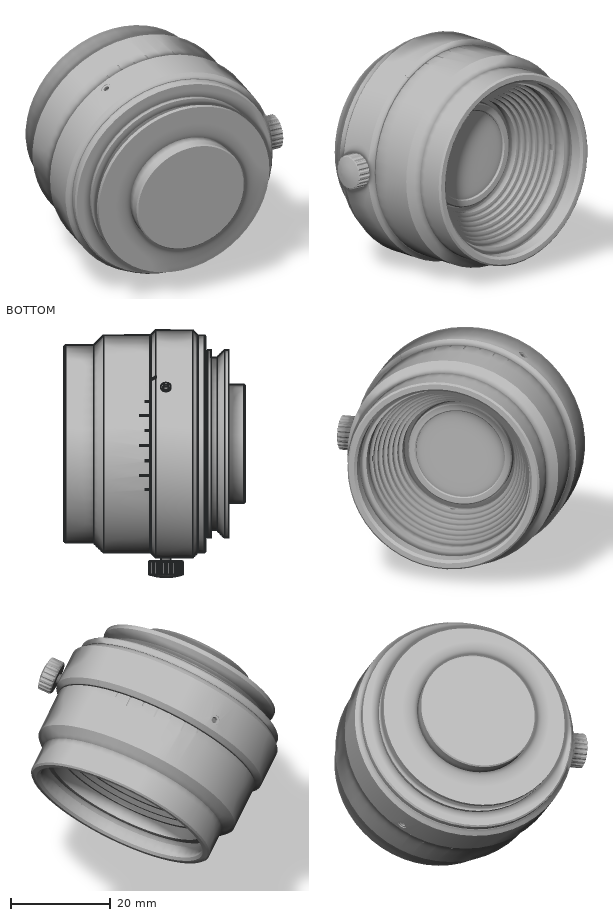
import cadquery as cq
import math

LENGTH = 36.6

BARREL_R = 20.0
RIM_CHAMFER = 0.35
CONE_START_X = 6.0
RING_R = 22.0
CONE_END_X = CONE_START_X + (RING_R - BARREL_R)
RING_END_X = 17.35
GAP_WIDTH = 0.25

COLLAR_R = 23.0
COLLAR_CHAMFER = 0.95
COLLAR_START_X = RING_END_X + GAP_WIDTH
COLLAR_END_X = 26.95
SEAM_WIDTH = 0.15
SEAM_DEPTH = 0.15
BACK_RING_END_X = 28.65
BACK_RING_CHAMFER = 0.3

MOUNT_R = 19.0
LEDGE_R = 18.85
LEDGE_END_X = 28.95
FLANGE_START_X = LEDGE_END_X + (MOUNT_R - LEDGE_R)
FLANGE_END_X = 29.75
GROOVE_R = 17.5
DOVETAIL_START_X = 30.95
DOVETAIL_END_X = DOVETAIL_START_X + (MOUNT_R - GROOVE_R)
MOUNT_END_X = 33.3
TUBE_R = 12.0
TUBE_CHAMFER = 0.25

BORE_R = 18.1
BORE_CHAMFER = 0.5
UNDERCUT_R = 18.4
UNDERCUT_START_X = 2.95
UNDERCUT_END_X = 4.0

BAFFLE_R = 17.0
LAND_R = 16.25
SHOULDER_R = 15.65
THROAT_R = 11.75
EQUAL_STEPS = 5
BAFFLE_START_X = 6.55
BAFFLE_STEP_X = 1.025

RELIEF_R = 11.9
RELIEF_START_X = 14.0
TRENCH_FLOOR_X = 15.0
TRENCH_FLOOR_R = 11.1
LENS_RING_X = 13.7
LENS_RING_R = 10.8
LENS_RING_CHAMFER = 0.25
LENS_R = 9.2
LENS_CHAMFER = 0.2
LENS_X = 14.15

WALL_HOLE_D = 1.0
WALL_HOLE_X = 13.35
WALL_HOLE_DEPTH = 0.75
WALL_HOLE_DEG = 6.5

NOTCH_R = 16.5
NOTCH_WIDTH = 1.25
NOTCH_END_X = 7.65

SCREW_X = 20.6
SCREW_COUNT = 3
NECK_D = 2.05
NECK_BOTTOM_Y = 22.0
HEAD_R = 3.5
HEAD_BOTTOM_Y = 23.6
HEAD_RIM_Y = 26.5
HEAD_TOP_Y = 27.0
HEAD_CHAMFER = 0.3
KNURL_COUNT = 20
KNURL_WIDTH = 0.7
KNURL_FLOOR_WIDTH = 0.2
KNURL_DEPTH = 0.25
SET_SCREW_D = 2.05
SET_SCREW_RECESS = 0.15
SOCKET_ACROSS_CORNERS = 1.35
SOCKET_DEPTH = 0.75

MARK_WIDTH = 0.3
MARK_DEPTH = 0.1
SHORT_TICK = 0.95
LONG_TICK = 2.05
TICK_COUNT = 7
TICK_PITCH_DEG = 8.0
FIRST_TICK_DEG = -23.0
INDEX_DEG = -36.0


def around_axis(shape, angle):
    """Turn a shape about the optical axis."""
    return shape.rotate((0, 0, 0), (1, 0, 0), angle)


def outer_profile():
    """(x, radius) points of the outside, from the front rim to the rear face."""
    back_ring_start_x = COLLAR_END_X + SEAM_WIDTH
    return [
        (0, BARREL_R - RIM_CHAMFER),
        (RIM_CHAMFER, BARREL_R),
        (CONE_START_X, BARREL_R),
        (CONE_END_X, RING_R),
        (RING_END_X, RING_R),
        (RING_END_X, BARREL_R),
        (COLLAR_START_X, BARREL_R),
        (COLLAR_START_X, COLLAR_R - COLLAR_CHAMFER),
        (COLLAR_START_X + COLLAR_CHAMFER, COLLAR_R),
        (COLLAR_END_X - COLLAR_CHAMFER, COLLAR_R),
        (COLLAR_END_X, COLLAR_R - COLLAR_CHAMFER),
        (COLLAR_END_X, RING_R - SEAM_DEPTH),
        (back_ring_start_x, RING_R - SEAM_DEPTH),
        (back_ring_start_x, RING_R),
        (BACK_RING_END_X - BACK_RING_CHAMFER, RING_R),
        (BACK_RING_END_X, RING_R - BACK_RING_CHAMFER),
        (BACK_RING_END_X, LEDGE_R),
        (LEDGE_END_X, LEDGE_R),
        (FLANGE_START_X, MOUNT_R),
        (FLANGE_END_X, MOUNT_R),
        (FLANGE_END_X, GROOVE_R),
        (DOVETAIL_START_X, GROOVE_R),
        (DOVETAIL_END_X, MOUNT_R),
        (MOUNT_END_X, MOUNT_R),
        (MOUNT_END_X, TUBE_R),
        (LENGTH - TUBE_CHAMFER, TUBE_R),
        (LENGTH, TUBE_R - TUBE_CHAMFER),
        (LENGTH, 0),
    ]


def baffle_radii():
    """Radii of the baffle from its front opening to the throat."""
    step = (SHOULDER_R - THROAT_R) / EQUAL_STEPS
    equal_radii = [SHOULDER_R - index * step for index in range(EQUAL_STEPS + 1)]
    return [BAFFLE_R, LAND_R] + equal_radii


def bore_profile():
    """(x, radius) points of the inside, from the front rim to the lens surface."""
    radii = baffle_radii()
    points = [
        (0, BORE_R + BORE_CHAMFER),
        (BORE_CHAMFER, BORE_R),
        (UNDERCUT_START_X, BORE_R),
        (UNDERCUT_START_X, UNDERCUT_R),
        (UNDERCUT_END_X, UNDERCUT_R),
        (UNDERCUT_END_X, BAFFLE_R),
    ]
    for step, (radius, next_radius) in enumerate(zip(radii, radii[1:])):
        x = BAFFLE_START_X + step * BAFFLE_STEP_X
        points += [(x, radius), (x, next_radius)]
    points += [
        (RELIEF_START_X, THROAT_R),
        (RELIEF_START_X, RELIEF_R),
        (TRENCH_FLOOR_X, RELIEF_R),
        (TRENCH_FLOOR_X, TRENCH_FLOOR_R),
        (TRENCH_FLOOR_X + TRENCH_FLOOR_R - LENS_RING_R, LENS_RING_R),
        (LENS_RING_X + LENS_RING_CHAMFER, LENS_RING_R),
        (LENS_RING_X, LENS_RING_R - LENS_RING_CHAMFER),
        (LENS_RING_X, LENS_R + LENS_CHAMFER),
        (LENS_RING_X + LENS_CHAMFER, LENS_R),
        (LENS_X, LENS_R),
        (LENS_X, 0),
    ]
    return points


def lens_body():
    outline = outer_profile() + bore_profile()[::-1]
    return cq.Workplane("XY").polyline(outline).close().revolve(360, (0, 0, 0), (1, 0, 0))


def spanner_notches():
    """Two notches on the +Y and -Y sides, with round outer walls."""
    depth = NOTCH_END_X - BAFFLE_START_X
    bar = cq.Workplane("YZ", origin=(BAFFLE_START_X, 0, 0)).rect(2 * NOTCH_R, NOTCH_WIDTH).extrude(depth)
    disc = cq.Workplane("YZ", origin=(BAFFLE_START_X, 0, 0)).circle(NOTCH_R).extrude(depth)
    core = cq.Workplane("YZ", origin=(BAFFLE_START_X, 0, 0)).circle(SHOULDER_R).extrude(depth)
    return bar.intersect(disc).cut(core)


def wall_hole():
    """Blind radial hole in the throat wall, turned from -Z toward +Y."""
    start = cq.Workplane("XY", origin=(WALL_HOLE_X, 0, -LENS_RING_R))
    hole = start.circle(WALL_HOLE_D / 2).extrude(LENS_RING_R - THROAT_R - WALL_HOLE_DEPTH)
    return around_axis(hole, WALL_HOLE_DEG)


def thumb_screw():
    """Domed, knurled head on a neck that enters the collar from +Y."""
    head_edge_r = HEAD_R - HEAD_CHAMFER
    dome_height = HEAD_TOP_Y - HEAD_RIM_Y
    dome_r = (head_edge_r**2 + dome_height**2) / (2 * dome_height)
    mid_r = head_edge_r / 2
    mid_y = HEAD_TOP_Y - dome_r + math.sqrt(dome_r**2 - mid_r**2)
    head = (
        cq.Workplane("XY")
        .moveTo(0, HEAD_BOTTOM_Y)
        .lineTo(head_edge_r, HEAD_BOTTOM_Y)
        .lineTo(HEAD_R, HEAD_BOTTOM_Y + HEAD_CHAMFER)
        .lineTo(HEAD_R, HEAD_RIM_Y - HEAD_CHAMFER / 2)
        .lineTo(head_edge_r, HEAD_RIM_Y)
        .threePointArc((mid_r, mid_y), (0, HEAD_TOP_Y))
        .close()
        .revolve(360, (0, 0, 0), (0, 1, 0))
    )
    knurl = (
        cq.Workplane("XZ", origin=(0, HEAD_BOTTOM_Y, 0))
        .polyline(
            [
                (HEAD_R - KNURL_DEPTH, -KNURL_FLOOR_WIDTH / 2),
                (HEAD_R, -KNURL_WIDTH / 2),
                (HEAD_R + KNURL_DEPTH, -KNURL_WIDTH / 2),
                (HEAD_R + KNURL_DEPTH, KNURL_WIDTH / 2),
                (HEAD_R, KNURL_WIDTH / 2),
                (HEAD_R - KNURL_DEPTH, KNURL_FLOOR_WIDTH / 2),
            ]
        )
        .close()
        .extrude(HEAD_BOTTOM_Y - HEAD_TOP_Y)
    )
    for index in range(KNURL_COUNT):
        head = head.cut(knurl.rotate((0, 0, 0), (0, 1, 0), index * 360 / KNURL_COUNT))
    neck_length = HEAD_BOTTOM_Y - NECK_BOTTOM_Y
    neck = cq.Workplane("XZ", origin=(0, NECK_BOTTOM_Y, 0)).circle(NECK_D / 2).extrude(-neck_length)
    return head.union(neck).translate((SCREW_X, 0, 0))


def set_screw_recess():
    """Round recess down to the screw face, with a hexagon socket in it, on the +Y side."""
    surface = cq.Workplane("XZ", origin=(SCREW_X, COLLAR_R, 0))
    recess = surface.circle(SET_SCREW_D / 2).extrude(SET_SCREW_RECESS)
    socket = surface.polygon(6, SOCKET_ACROSS_CORNERS).extrude(SET_SCREW_RECESS + SOCKET_DEPTH)
    return recess.union(socket)


def scale_tick(length):
    """Engraved line that ends at the rear edge of the aperture ring, on the +Z side."""
    tick = cq.Workplane("XY").box(length, MARK_WIDTH, 2 * MARK_DEPTH)
    return tick.translate((RING_END_X - length / 2, 0, RING_R))


def index_mark():
    """Engraved line across the front chamfer of the collar, on the +Z side."""
    chamfer_length = COLLAR_CHAMFER * math.sqrt(2)
    mark = cq.Workplane("XY").box(chamfer_length, MARK_WIDTH, 2 * MARK_DEPTH)
    middle = (COLLAR_START_X + COLLAR_CHAMFER / 2, 0, COLLAR_R - COLLAR_CHAMFER / 2)
    return mark.rotate((0, 0, 0), (0, 1, 0), -45).translate(middle)


result = lens_body().cut(spanner_notches()).cut(wall_hole()).union(thumb_screw())

for place in range(1, SCREW_COUNT):
    result = result.cut(around_axis(set_screw_recess(), place * 360 / SCREW_COUNT))

for half_turn in (0, 180):
    for index in range(TICK_COUNT):
        tick_length = LONG_TICK if index % 2 else SHORT_TICK
        tick_angle = FIRST_TICK_DEG + index * TICK_PITCH_DEG + half_turn
        result = result.cut(around_axis(scale_tick(tick_length), tick_angle))
    result = result.cut(around_axis(index_mark(), INDEX_DEG + half_turn))